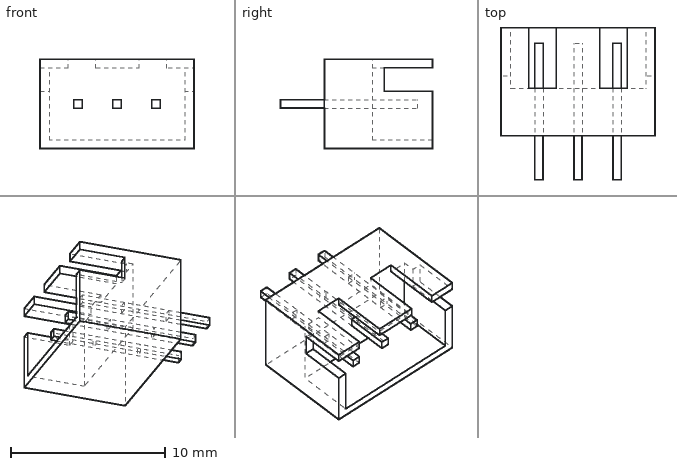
import cadquery as cq

width = 10.0
depth = 7.01
height = 5.8
wall = 0.57
side_wall = 0.62
cavity_depth = 3.92

top_slot_width = 1.78
top_slot_offset = 2.3

side_slot_height = 1.51
side_slot_depth = 3.13

pin_count = 3
pin_pitch = 2.54
pin_size = 0.55
pin_tail = 2.86
pin_recess = 1.01


def block(x_size, y_start, y_end, z_bottom, z_top, x_center=0.0):
    """Box centred on x_center, given by its Y and Z limits."""
    return (
        cq.Workplane("XY")
        .box(x_size, y_end - y_start, z_top - z_bottom, centered=(True, False, False))
        .translate((x_center, y_start, z_bottom))
    )


def make_pin(x_center):
    """Square pin running through the solder wall into the cavity."""
    half = pin_size / 2
    return block(pin_size, -pin_tail, depth - pin_recess, -half, half, x_center)


def make_housing(pins):
    z_top = height / 2
    z_ceiling = z_top - wall
    body = block(width, 0, depth, -z_top, z_top)

    cavity_floor = depth - cavity_depth
    body = body.cut(block(width - 2 * side_wall, cavity_floor, depth, -z_ceiling, z_ceiling))

    for side in (-1, 1):
        x_center = side * top_slot_offset
        body = body.cut(block(top_slot_width, cavity_floor, depth, z_ceiling, z_top, x_center))

    slot_bottom = z_ceiling - side_slot_height
    body = body.cut(block(width, depth - side_slot_depth, depth, slot_bottom, z_ceiling))

    for pin in pins:
        body = body.cut(pin)
    return body


pins = [make_pin((i - (pin_count - 1) / 2) * pin_pitch) for i in range(pin_count)]
housing = make_housing(pins)

result = cq.Compound.makeCompound([housing.val(), *[pin.val() for pin in pins]])